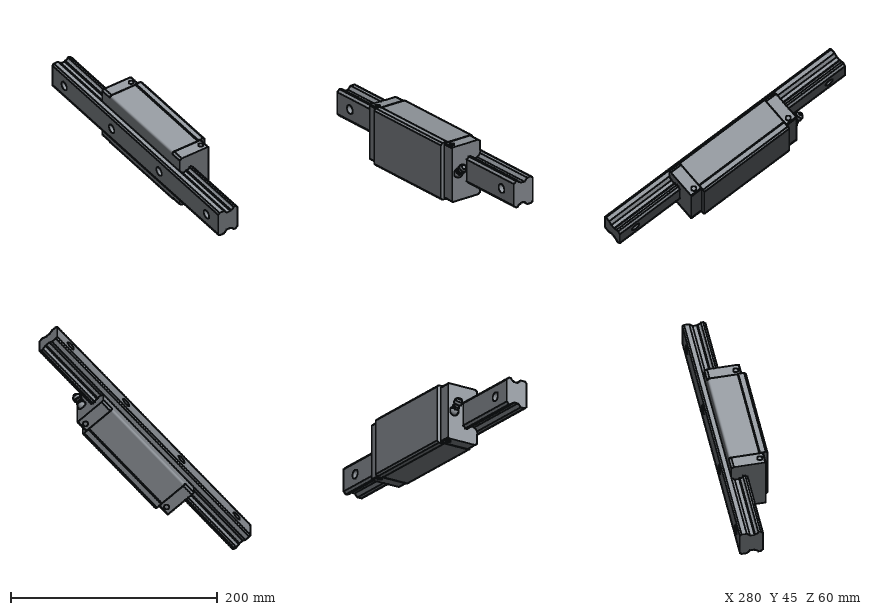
import cadquery as cq
import math


rail_length = 280.0
rail_half_width = 14.0
rail_height = 23.0
rail_base_chamfer = 1.7
rail_top_chamfer = 2.5
bolt_hole_diameter = 9.0
bolt_hole_pitch = 80.0
bolt_hole_count = 4

groove_floor = 10.5
groove_front = 6.7
track_bottom = 14.3
track_step = 0.8
track_top = 18.2
track_radius = 3.5

carriage_front = groove_front
carriage_back = 45.0
block_length = 105.5
block_half_width = 29.5
block_fillet = 2.2
flange_half_width = 30.0
flange_front = 36.7
flange_step_run = 0.8
flange_chamfer = 2.0

carriage_length = 130.8
cap_half_width = 28.8
cap_back = 41.0
cap_front_chamfer_depth = 2.5
cap_front_chamfer_width = 1.7
cap_back_chamfer = 0.8
port_diameter = 5.0
port_depth = 0.3
port_inset = 6.7
port_y = 36.0

nipple_y = 34.2
nipple_angle = 45.0
dome_radius = 4.5
collar_flats = 6.5

dome_centre = 0.8
collar_end = 6.0
neck_radius = 2.5
head_start = 8.7
head_radius = 4.0
head_taper_start = 12.3
head_end = 14.3
tip_radius = 2.2


def extrude_along_x(outline, length):
    """Extrude a closed YZ outline to a length centred on X = 0."""
    return outline.close().extrude(length / 2, both=True)


def rail_bar():
    """Rail without its bolt holes; it also shapes the carriage channel."""
    slope_end = groove_front + rail_half_width - groove_floor
    track_floor = groove_floor + track_step
    half = (
        cq.Workplane("YZ")
        .moveTo(0, 0)
        .lineTo(0, rail_half_width - rail_base_chamfer)
        .lineTo(rail_base_chamfer, rail_half_width)
        .lineTo(groove_front, rail_half_width)
        .lineTo(slope_end, groove_floor)
        .lineTo(track_bottom, groove_floor)
        .lineTo(track_bottom + track_step, track_floor)
        .radiusArc((track_top, rail_half_width), -track_radius)
        .lineTo(rail_height - rail_top_chamfer, rail_half_width)
        .lineTo(rail_height, rail_half_width - rail_top_chamfer)
        .lineTo(rail_height, 0)
    )
    half_bar = extrude_along_x(half, rail_length)
    return half_bar.union(half_bar.mirror("XY")).clean()


def make_rail():
    holes = (
        cq.Workplane("XZ")
        .rarray(bolt_hole_pitch, 2.8, bolt_hole_count, 1)
        .circle(bolt_hole_diameter / 2)
        .extrude(-rail_height)
    )
    return rail_bar().cut(holes)


def carriage_block():
    """Middle of the carriage, with a slightly wider flange along its back."""
    depth = carriage_back - carriage_front
    body = (
        cq.Workplane("XY")
        .box(block_length, depth, 2 * block_half_width)
        .translate((0, carriage_front + depth / 2, 0))
        .faces("<Y")
        .edges("|X")
        .fillet(block_fillet)
    )
    flange = (
        cq.Workplane("YZ")
        .moveTo(flange_front, -block_half_width)
        .lineTo(flange_front + flange_step_run, -flange_half_width)
        .lineTo(carriage_back, -flange_half_width)
        .lineTo(carriage_back, flange_half_width)
        .lineTo(flange_front + flange_step_run, flange_half_width)
        .lineTo(flange_front, block_half_width)
    )
    flange = extrude_along_x(flange, block_length)
    return body.union(flange).faces(">Y").edges("|X").chamfer(flange_chamfer)


def end_caps():
    """Bar through the block whose two projecting ends are the end caps."""
    front_half_width = cap_half_width - cap_front_chamfer_width
    chamfer_end = carriage_front + cap_front_chamfer_depth
    outline = (
        cq.Workplane("YZ")
        .moveTo(carriage_front, -front_half_width)
        .lineTo(chamfer_end, -cap_half_width)
        .lineTo(cap_back, -cap_half_width)
        .lineTo(cap_back, cap_half_width)
        .lineTo(chamfer_end, cap_half_width)
        .lineTo(carriage_front, front_half_width)
    )
    caps = extrude_along_x(outline, carriage_length)
    caps = caps.faces(">Y").edges("|X").chamfer(cap_back_chamfer)
    port_x = carriage_length / 2 - port_inset
    for side in (-1, 1):
        ports = (
            cq.Workplane("XY", origin=(0, 0, side * cap_half_width))
            .pushPoints([(-port_x, port_y), (port_x, port_y)])
            .circle(port_diameter / 2)
            .extrude(-side * port_depth)
        )
        caps = caps.cut(ports)
    return caps


def make_carriage():
    return carriage_block().union(end_caps()).cut(rail_bar())


def make_grease_nipple():
    """Dome on the end face carrying a leaning hexagonal collar and a round head."""
    base = cq.Vector(-carriage_length / 2, nipple_y, 0)
    lean = math.radians(nipple_angle)
    axis = cq.Vector(-math.cos(lean), 0, math.sin(lean))
    seat = cq.Plane(origin=base, xDir=(0, 1, 0), normal=axis)

    dome = cq.Workplane("XY").sphere(dome_radius).translate(base + axis * dome_centre)
    collar = cq.Workplane(seat).polygon(6, collar_flats / math.cos(math.pi / 6)).extrude(collar_end)
    neck = cq.Workplane(seat).circle(neck_radius).extrude(head_start)
    head_profile = cq.Plane(origin=base, xDir=(0, 1, 0), normal=cq.Vector(0, 1, 0).cross(axis))
    head = (
        cq.Workplane(head_profile)
        .moveTo(0, head_start)
        .lineTo(head_radius, head_start)
        .lineTo(head_radius, head_taper_start)
        .lineTo(tip_radius, head_end)
        .lineTo(0, head_end)
        .close()
        .revolve(360, (0, 0), (0, 1))
    )
    inside_cap = (
        cq.Workplane("YZ", origin=base.toTuple())
        .rect(4 * dome_radius, 4 * dome_radius)
        .extrude(2 * dome_radius)
    )
    return dome.union(collar).union(neck).union(head).cut(inside_cap)


rail = make_rail()
carriage = make_carriage()
grease_nipple = make_grease_nipple()

result = cq.Compound.makeCompound([rail.val(), carriage.val(), grease_nipple.val()])